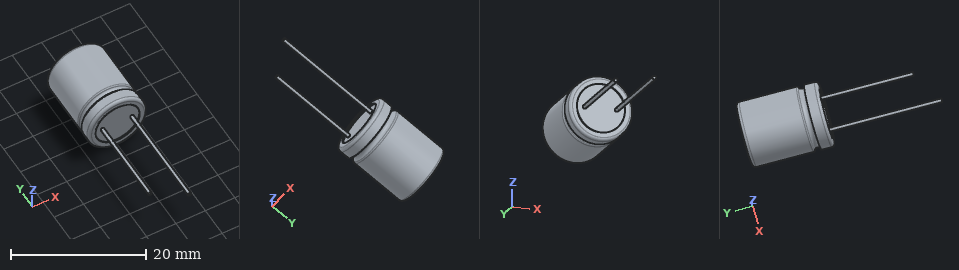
import cadquery as cq
import math


can_diameter = 10.0
can_length = 12.5
end_fillet = 0.5

groove_center = 2.55
groove_radius = 0.5
groove_lip_radius = 0.25

recess_diameter = 7.5
recess_depth = 0.2

lead_diameter = 0.6
lead_pitch = 5.0
short_lead_length = 14.0
long_lead_length = 17.0

can_radius = can_diameter / 2


def point_on_arc(center, radius, angle):
    """Point (y, z) on a circle, with the angle in radians measured from +Y toward +Z."""
    return (center[0] + radius * math.cos(angle), center[1] + radius * math.sin(angle))


def make_can():
    """Revolve the half section of the can, with its recess and crimp groove, about Y."""
    recess_radius = recess_diameter / 2
    flat_radius = can_radius - end_fillet
    groove_middle = (groove_center, can_radius)

    center_distance = groove_radius + groove_lip_radius
    lip_offset = math.sqrt(center_distance**2 - groove_lip_radius**2)
    lip_middle = (groove_center + lip_offset, can_radius - groove_lip_radius)
    lip_angle = math.asin(groove_lip_radius / center_distance)

    groove_start = point_on_arc(groove_middle, groove_radius, math.pi)
    groove_bottom = point_on_arc(groove_middle, groove_radius, -math.pi / 2)
    groove_end = point_on_arc(groove_middle, groove_radius, -lip_angle)
    lip_crest = point_on_arc(lip_middle, groove_lip_radius, 3 * math.pi / 4 - lip_angle / 2)
    lip_end = point_on_arc(lip_middle, groove_lip_radius, math.pi / 2)

    lead_end_corner = point_on_arc((end_fillet, flat_radius), end_fillet, 3 * math.pi / 4)
    closed_end_corner = point_on_arc((can_length - end_fillet, flat_radius), end_fillet, math.pi / 4)

    section = (
        cq.Workplane("YZ")
        .moveTo(recess_depth, 0)
        .lineTo(recess_depth, recess_radius)
        .lineTo(0, recess_radius)
        .lineTo(0, flat_radius)
        .threePointArc(lead_end_corner, (end_fillet, can_radius))
        .lineTo(*groove_start)
        .threePointArc(groove_bottom, groove_end)
        .threePointArc(lip_crest, lip_end)
        .lineTo(can_length - end_fillet, can_radius)
        .threePointArc(closed_end_corner, (can_length, flat_radius))
        .lineTo(can_length, 0)
        .close()
    )
    return section.revolve(360, (0, 0, 0), (1, 0, 0))


def make_lead(x, length):
    """Round wire at the given X, from the recess floor to its tip at Y = -length."""
    return (
        cq.Workplane("XZ", origin=(x, recess_depth, 0))
        .circle(lead_diameter / 2)
        .extrude(recess_depth + length)
    )


short_lead = make_lead(-lead_pitch / 2, short_lead_length)
long_lead = make_lead(lead_pitch / 2, long_lead_length)
result = make_can().union(short_lead).union(long_lead)